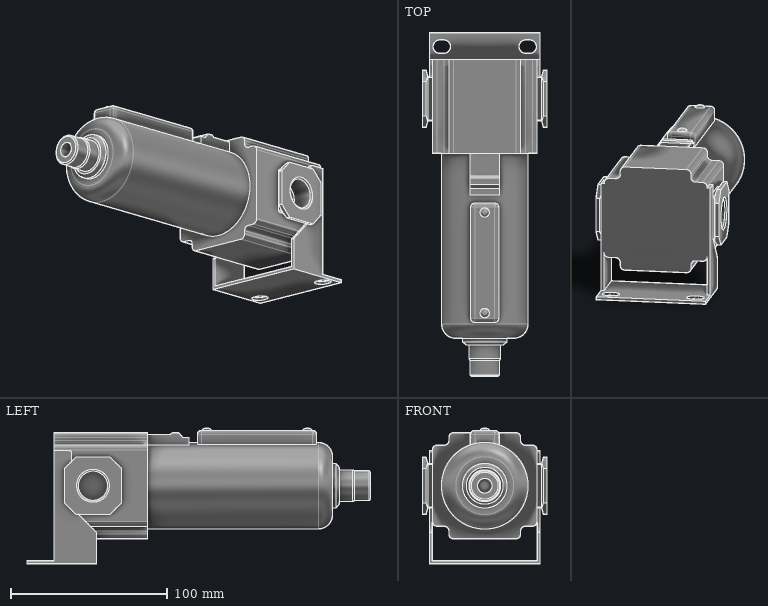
import cadquery as cq
import math


head_half_width = 33.5
head_half_height = 34.0
head_corner_step_x = 23.0
head_corner_step_z = 26.0
head_fillet = 3.0
head_back_y = 25.0
head_front_y = -35.0

port_face_x = 40.0
port_flange_size = 36.6
port_flange_chamfer = 7.3
port_rim_thickness = 2.5
port_taper_length = 1.1
port_neck_size = 28.6
port_neck_chamfer = 0.8
port_bore_diameter = 18.8
port_mouth_diameter = 21.0
port_bore_depth = 15.0

bracket_thickness = 2.0
bracket_half_width = head_half_width + bracket_thickness
bracket_base_z = -50.0
bracket_arm_top_z = 22.4
bracket_arm_round = 1.2
bracket_arm_edge_y = 13.8
bracket_slope_start_z = -13.8
bracket_front_y = -2.3
bracket_back_y = 42.3
bracket_slot_length = 11.0
bracket_slot_width = 8.5
bracket_slot_spacing = 55.0
bracket_slot_y = 33.4

bowl_radius = 27.75
bowl_end_y = -153.4
bowl_end_fillet = 9.2
drain_collar_radius = 14.3
drain_collar_rim_y = -155.6
drain_collar_end_y = -157.7
drain_collar_end_radius = 11.8
drain_neck_radius = 10.2
drain_neck_end_y = -166.2
drain_tip_radius = 9.6
drain_tip_start_y = -167.5
drain_tip_end_y = -177.7
drain_tip_chamfer = 1.0
drain_bore_diameter = 9.4
drain_bore_depth = 10.0

latch_width = 19.2
latch_deck_z = 32.8
latch_ridge_z = 34.0
latch_toe_z = 31.0
latch_ridge_foot_y = -49.5
latch_ridge_back_y = -50.8
latch_ridge_front_y = -54.8
latch_toe_back_y = -57.5
latch_end_y = -61.5

cover_width = 18.0
cover_length = 76.4
cover_center_y = -105.0
cover_top_z = 35.5
cover_fillet = 2.6
screw_spacing = 64.4
screw_radius = 3.0
screw_flat_radius = 1.0
screw_height = 1.3


def make_head():
    """Square block with stepped, rounded corners."""
    length = head_back_y - head_front_y
    wide = cq.Workplane("XY").box(2 * head_half_width, length, 2 * head_corner_step_z)
    tall = cq.Workplane("XY").box(2 * head_corner_step_x, length, 2 * head_half_height)
    head = wide.union(tall).edges("|Y").fillet(head_fillet)
    return head.translate((0, (head_back_y + head_front_y) / 2, 0))


def make_port(side):
    """Octagonal port flange with a tapered back on a chamfered square neck; side is +1 or -1."""
    rim_back = port_rim_thickness
    taper_end = rim_back + port_taper_length
    neck_end = port_face_x - head_half_width
    inward = cq.Workplane(cq.Plane((side * port_face_x, 0, 0), (0, 1, 0), (-side, 0, 0)))

    octagon = (
        inward.rect(port_flange_size, port_flange_size)
        .extrude(taper_end)
        .edges("|X")
        .chamfer(port_flange_chamfer)
    )
    rim = inward.rect(port_flange_size, port_flange_size).extrude(rim_back)
    taper = (
        inward.workplane(offset=rim_back)
        .rect(port_flange_size, port_flange_size)
        .workplane(offset=port_taper_length)
        .rect(port_neck_size, port_neck_size)
        .loft()
    )
    neck = (
        inward.rect(port_neck_size, port_neck_size)
        .extrude(neck_end)
        .edges("|X")
        .chamfer(port_neck_chamfer)
    )
    return rim.union(taper).intersect(octagon).union(neck)


def make_port_bore(side):
    """Blind port bore with a countersunk mouth."""
    bore_radius = port_bore_diameter / 2
    mouth_radius = port_mouth_diameter / 2
    mouth_depth = mouth_radius - bore_radius
    inward = cq.Workplane(cq.Plane((side * port_face_x, 0, 0), (0, 1, 0), (-side, 0, 0)))
    bore = inward.circle(bore_radius).extrude(port_bore_depth)
    mouth = (
        inward.circle(mouth_radius)
        .workplane(offset=mouth_depth)
        .circle(bore_radius)
        .loft()
    )
    return bore.union(mouth)


def make_bracket():
    """U-shaped bracket: a slotted base plate and two side arms reaching up the head."""
    slope_run = bracket_arm_edge_y - bracket_front_y
    arm_outline = [
        (head_back_y, bracket_base_z),
        (head_back_y, bracket_arm_top_z),
        (bracket_arm_edge_y, bracket_arm_top_z),
        (bracket_arm_edge_y, bracket_slope_start_z),
        (bracket_front_y, bracket_slope_start_z - slope_run),
        (bracket_front_y, bracket_base_z),
    ]
    arm = (
        cq.Workplane("YZ")
        .polyline(arm_outline)
        .close()
        .extrude(bracket_thickness)
        .edges("|X and >Z")
        .edges("<Y")
        .fillet(bracket_arm_round)
    )
    base = (
        cq.Workplane("XY", origin=(0, 0, bracket_base_z))
        .center(0, (bracket_front_y + bracket_back_y) / 2)
        .rect(2 * bracket_half_width, bracket_back_y - bracket_front_y)
        .extrude(bracket_thickness)
    )
    slots = (
        cq.Workplane("XY", origin=(0, bracket_slot_y, bracket_base_z))
        .pushPoints([(-bracket_slot_spacing / 2, 0), (bracket_slot_spacing / 2, 0)])
        .slot2D(bracket_slot_length, bracket_slot_width)
        .extrude(bracket_thickness)
    )
    left_arm = arm.translate((-bracket_half_width, 0, 0))
    right_arm = arm.translate((head_half_width, 0, 0))
    return base.cut(slots).union(left_arm).union(right_arm)


def make_bowl():
    """Bowl with a rounded end, drain collar and drain tip, revolved about Y."""
    arc_center_r = bowl_radius - bowl_end_fillet
    arc_center_y = bowl_end_y + bowl_end_fillet
    arc_mid_offset = bowl_end_fillet * math.sqrt(0.5)
    bowl = (
        cq.Workplane("XY")
        .moveTo(0, head_front_y)
        .lineTo(bowl_radius, head_front_y)
        .lineTo(bowl_radius, arc_center_y)
        .threePointArc(
            (arc_center_r + arc_mid_offset, arc_center_y - arc_mid_offset),
            (arc_center_r, bowl_end_y),
        )
        .lineTo(drain_collar_radius, bowl_end_y)
        .lineTo(drain_collar_radius, drain_collar_rim_y)
        .lineTo(drain_collar_end_radius, drain_collar_end_y)
        .lineTo(drain_neck_radius, drain_collar_end_y)
        .lineTo(drain_neck_radius, drain_neck_end_y)
        .lineTo(drain_tip_radius, drain_tip_start_y)
        .lineTo(drain_tip_radius, drain_tip_end_y + drain_tip_chamfer)
        .lineTo(drain_tip_radius - drain_tip_chamfer, drain_tip_end_y)
        .lineTo(0, drain_tip_end_y)
        .close()
        .revolve(360, (0, 0, 0), (0, 1, 0))
    )
    bore = (
        cq.Workplane("XZ", origin=(0, drain_tip_end_y + drain_bore_depth, 0))
        .circle(drain_bore_diameter / 2)
        .extrude(drain_bore_depth)
    )
    return bowl.cut(bore)


def make_latch():
    """Ridged latch lying on top of the bowl, sunk to the bowl axis."""
    outline = [
        (head_front_y, 0),
        (head_front_y, latch_deck_z),
        (latch_ridge_foot_y, latch_deck_z),
        (latch_ridge_back_y, latch_ridge_z),
        (latch_ridge_front_y, latch_ridge_z),
        (latch_toe_back_y, latch_toe_z),
        (latch_end_y, latch_toe_z),
        (latch_end_y, 0),
    ]
    return cq.Workplane("YZ").polyline(outline).close().extrude(latch_width / 2, both=True)


def make_cover():
    """Rounded sight-glass cover, sunk to the bowl axis."""
    return (
        cq.Workplane("XY", origin=(0, cover_center_y, 0))
        .rect(cover_width, cover_length)
        .extrude(cover_top_z)
        .edges("|Z or >Z")
        .fillet(cover_fillet)
    )


def make_screw(y):
    """Low domed screw head with a small flat on top."""
    return (
        cq.Workplane("XZ")
        .lineTo(0, screw_height)
        .lineTo(screw_flat_radius, screw_height)
        .tangentArcPoint((screw_radius, 0), relative=False)
        .close()
        .revolve(360, (0, 0, 0), (0, 1, 0))
        .translate((0, y, cover_top_z))
    )


result = make_head().union(make_bracket()).union(make_bowl())
result = result.union(make_latch()).union(make_cover())

for direction in (-1, 1):
    result = result.union(make_port(direction)).cut(make_port_bore(direction))
    result = result.union(make_screw(cover_center_y + direction * screw_spacing / 2))